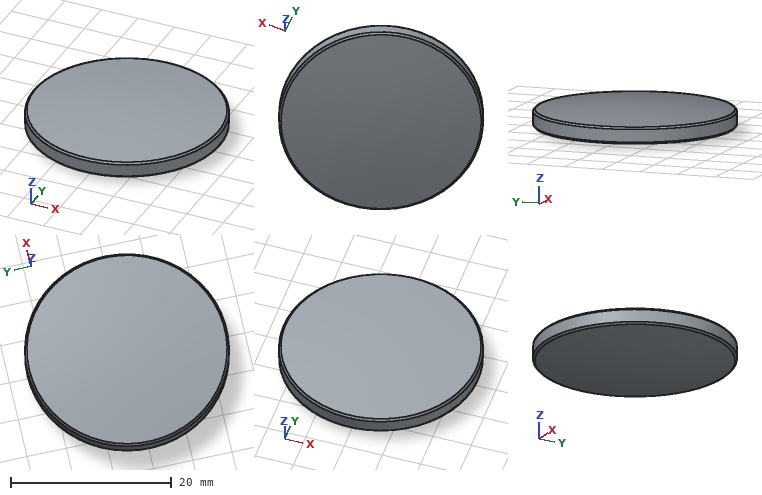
import cadquery as cq

diameter = 25.4
center_thickness = 3.8
edge_thickness = 2.13
chamfer = 0.25

radius = diameter / 2
face_radius = radius - chamfer
half_center = center_thickness / 2
half_edge = edge_thickness / 2
half_wall = half_edge - chamfer

dome_rise = half_center - half_edge
sphere_radius = (face_radius**2 + dome_rise**2) / (2 * dome_rise)


def dome_height(distance):
    """Height of the domed face above the mid-plane at a distance from the axis."""
    return half_center - sphere_radius + (sphere_radius**2 - distance**2) ** 0.5


arc_middle = face_radius / 2
arc_middle_height = dome_height(arc_middle)

half_section = (
    cq.Workplane("YZ")
    .moveTo(0, -half_center)
    .threePointArc((arc_middle, -arc_middle_height), (face_radius, -half_edge))
    .lineTo(radius, -half_wall)
    .lineTo(radius, half_wall)
    .lineTo(face_radius, half_edge)
    .threePointArc((arc_middle, arc_middle_height), (0, half_center))
    .close()
)

result = half_section.revolve(360, (0, 0, 0), (0, 1, 0))